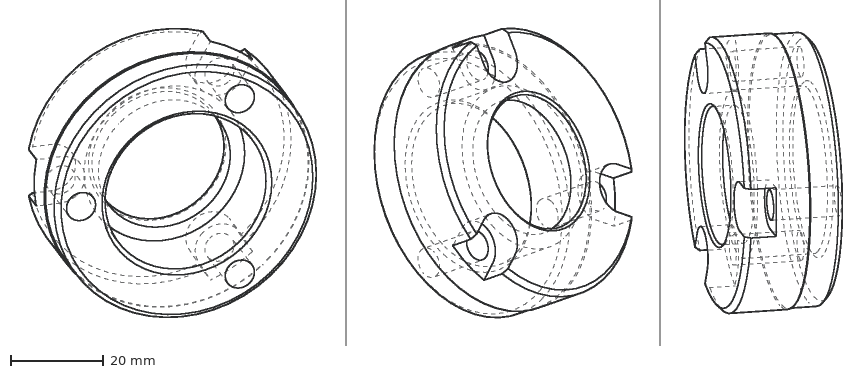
import cadquery as cq

full_turn = 360.0

thickness = 21.77
front_radius = 30.0
front_length = 14.17
rim_chamfer = 1.2

rear_radius = 29.75
step_bevel = front_radius - rear_radius

lip_radius = 15.0
lip_end = 5.25
bore_radius = 18.25
lip_chamfer = 0.6
bore_chamfer = 1.0

screw_count = 3
first_screw_angle = 180.0
screw_circle_radius = 24.0
screw_hole_diameter = 6.6
pocket_width = 11.0
pocket_depth = 6.77


def make_ring():
    """Revolve the (x, radius) half-section about the X axis."""
    return (
        cq.Workplane("XY")
        .moveTo(0, lip_radius + lip_chamfer)
        .lineTo(0, front_radius - rim_chamfer)
        .lineTo(rim_chamfer, front_radius)
        .lineTo(front_length, front_radius)
        .lineTo(front_length + step_bevel, rear_radius)
        .lineTo(thickness - rim_chamfer, rear_radius)
        .lineTo(thickness, rear_radius - rim_chamfer)
        .lineTo(thickness, bore_radius + bore_chamfer)
        .lineTo(thickness - bore_chamfer, bore_radius)
        .lineTo(lip_end, bore_radius)
        .lineTo(lip_end, lip_radius)
        .lineTo(lip_chamfer, lip_radius)
        .close()
        .revolve(full_turn, (0, 0, 0), (1, 0, 0))
    )


def make_screw_cutter(angle):
    """Through hole plus a round-ended pocket running out through the rim."""
    hole = (
        cq.Workplane("YZ")
        .center(screw_circle_radius, 0)
        .circle(screw_hole_diameter / 2)
        .extrude(thickness)
    )
    pocket_end = (
        cq.Workplane("YZ")
        .center(screw_circle_radius, 0)
        .circle(pocket_width / 2)
        .extrude(pocket_depth)
    )
    pocket_run = (
        cq.Workplane("YZ")
        .center(screw_circle_radius + front_radius / 2, 0)
        .rect(front_radius, pocket_width)
        .extrude(pocket_depth)
    )
    cutter = hole.union(pocket_end).union(pocket_run)
    return cutter.rotate((0, 0, 0), (1, 0, 0), angle)


result = make_ring()
for index in range(screw_count):
    screw_angle = first_screw_angle + index * full_turn / screw_count
    result = result.cut(make_screw_cutter(screw_angle))